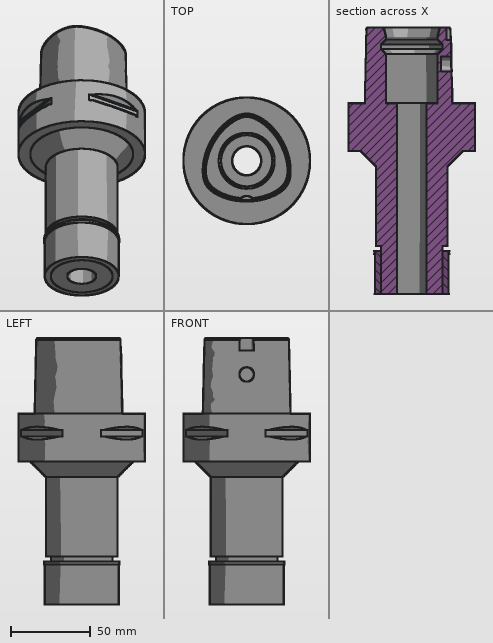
import cadquery as cq
import math

TOP_Z = 168.0
CHAMFER_Z = 166.8
FLANGE_TOP_Z = 120.3
FLANGE_BOTTOM_Z = 90.0
CONE_BOTTOM_Z = 80.3
BARREL_BOTTOM_Z = 30.2
NUT_TOP_Z = 27.2
COLLAR_BOTTOM_Z = 25.4

FLANGE_R = 40.0
BARREL_R = 22.7
CONE_TOP_R = BARREL_R + FLANGE_BOTTOM_Z - CONE_BOTTOM_Z
NECK_R = 19.5
COLLAR_R = 23.7
NUT_R = 23.4

SHANK_BASE_R = 27.7
SHANK_TOP_R = 26.7
LOBE_HEIGHT = 2.0
SHANK_CHAMFER = 1.0
LOBES = 3
SHANK_POINTS = 24

MOUTH_R = 17.6
BORE_R = 16.1
MOUTH_DEPTH = 6.4
LIP_DEPTH = 7.7
GROOVE_RISE = 3.0
GROOVE_FLOOR_WIDTH = 2.9
THROUGH_R = 9.0

NOTCH_R = 5.4
NOTCH_AXIS_Y = -27.5
NOTCH_FLOOR_Z = 160.1
SIDE_HOLE_R = 4.5
SIDE_HOLE_Z = 145.0
SIDE_HOLE_FLOOR_Y = -18.5

SLOT_COUNT = 4
SLOT_FLOOR_R = 35.5
SLOT_FLOOR_HEIGHT = 4.0
SLOT_WALL = 1.0
SLOT_FLARE_ANGLE = 30.0
SLOT_Z = 108.0


def lobed_wire(mean_r, z):
    """Closed outline with three lobes, one of them at +Y.

    Its support distance at an angle a from +Y is mean_r + LOBE_HEIGHT * cos(LOBES * a).
    """
    points = []
    for i in range(SHANK_POINTS):
        turn = 2 * math.pi * i / SHANK_POINTS
        reach = mean_r + LOBE_HEIGHT * math.cos(LOBES * turn)
        slide = -LOBES * LOBE_HEIGHT * math.sin(LOBES * turn)
        x = -reach * math.sin(turn) - slide * math.cos(turn)
        y = reach * math.cos(turn) - slide * math.sin(turn)
        points.append(cq.Vector(x, y, z))
    return cq.Wire.assembleEdges([cq.Edge.makeSpline(points, periodic=True)])


def make_shank():
    base = lobed_wire(SHANK_BASE_R, FLANGE_TOP_Z)
    shoulder = lobed_wire(SHANK_TOP_R, CHAMFER_Z)
    tip = lobed_wire(SHANK_TOP_R - SHANK_CHAMFER, TOP_Z)
    taper = cq.Solid.makeLoft([base, shoulder], True)
    chamfer = cq.Solid.makeLoft([shoulder, tip], True)
    return cq.Workplane(taper).union(cq.Workplane(chamfer))


def revolve_profile(points):
    """Solid of revolution about Z from (radius, z) points."""
    return cq.Workplane("XZ").polyline(points).close().revolve(360, (0, 0), (0, 1))


def make_body():
    """Flange, cone, barrel and the neck that carries the nut."""
    return revolve_profile([
        (0, FLANGE_TOP_Z),
        (FLANGE_R, FLANGE_TOP_Z),
        (FLANGE_R, FLANGE_BOTTOM_Z),
        (CONE_TOP_R, FLANGE_BOTTOM_Z),
        (BARREL_R, CONE_BOTTOM_Z),
        (BARREL_R, BARREL_BOTTOM_Z),
        (NECK_R, BARREL_BOTTOM_Z),
        (NECK_R, 0),
        (0, 0),
    ])


def make_bore():
    """Tapered mouth, ring groove, straight bore down to the flange face, then the through hole."""
    groove_r = BORE_R + GROOVE_RISE
    lip_z = TOP_Z - LIP_DEPTH
    groove_top_z = lip_z - GROOVE_RISE
    groove_bottom_z = groove_top_z - GROOVE_FLOOR_WIDTH
    return revolve_profile([
        (0, TOP_Z),
        (MOUTH_R, TOP_Z),
        (BORE_R, TOP_Z - MOUTH_DEPTH),
        (BORE_R, lip_z),
        (groove_r, groove_top_z),
        (groove_r, groove_bottom_z),
        (BORE_R, groove_bottom_z - GROOVE_RISE),
        (BORE_R, FLANGE_TOP_Z),
        (THROUGH_R, FLANGE_TOP_Z),
        (THROUGH_R, 0),
        (0, 0),
    ])


def make_notch():
    notch = cq.Workplane("XY", origin=(0, NOTCH_AXIS_Y, NOTCH_FLOOR_Z))
    return notch.circle(NOTCH_R).extrude(TOP_Z - NOTCH_FLOOR_Z)


def make_side_hole():
    hole = cq.Workplane("XZ", origin=(0, SIDE_HOLE_FLOOR_Y, SIDE_HOLE_Z))
    return hole.circle(SIDE_HOLE_R).extrude(FLANGE_R + SIDE_HOLE_FLOOR_Y)


def make_slot(angle):
    """Flared slot along a chord of the flange rim, facing the given angle from +X."""
    flare_r = SLOT_FLOOR_R + SLOT_WALL
    half_floor = SLOT_FLOOR_HEIGHT / 2
    half_mouth = half_floor + (FLANGE_R - flare_r) * math.tan(math.radians(SLOT_FLARE_ANGLE))
    profile = [
        (SLOT_FLOOR_R, SLOT_Z - half_floor),
        (flare_r, SLOT_Z - half_floor),
        (FLANGE_R, SLOT_Z - half_mouth),
        (FLANGE_R, SLOT_Z + half_mouth),
        (flare_r, SLOT_Z + half_floor),
        (SLOT_FLOOR_R, SLOT_Z + half_floor),
    ]
    slot = cq.Workplane("XZ").polyline(profile).close().extrude(FLANGE_R, both=True)
    return slot.rotate((0, 0, 0), (0, 0, 1), angle)


def make_holder():
    holder = make_body().union(make_shank())
    holder = holder.cut(make_bore()).cut(make_notch()).cut(make_side_hole())
    pitch = 360 / SLOT_COUNT
    for i in range(SLOT_COUNT):
        holder = holder.cut(make_slot((i + 0.5) * pitch))
    return holder


def make_nut():
    """Round nut with a thin collar at its top, fitted around the neck of the holder."""
    return revolve_profile([
        (NECK_R, NUT_TOP_Z),
        (COLLAR_R, NUT_TOP_Z),
        (COLLAR_R, COLLAR_BOTTOM_Z),
        (NUT_R, COLLAR_BOTTOM_Z),
        (NUT_R, 0),
        (NECK_R, 0),
    ])


holder = make_holder()
nut = make_nut()
result = cq.Compound.makeCompound([holder.val(), nut.val()])